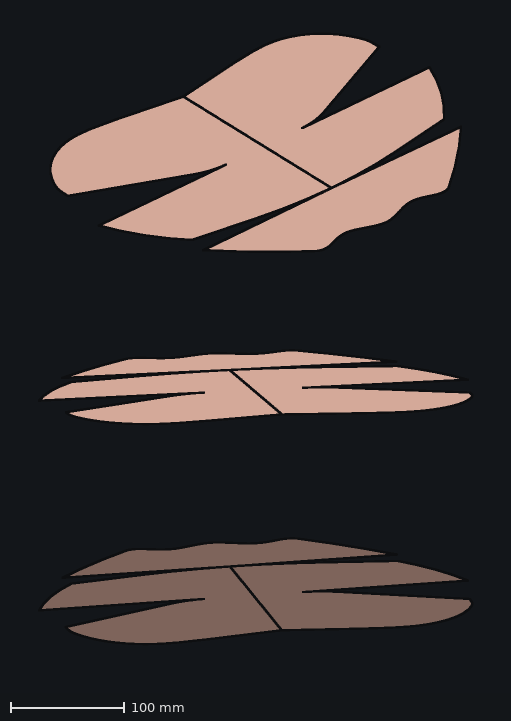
import cadquery as cq
import math

THICKNESS = 0.2

ROOT_X = -198.4
SLIT_X = -90.3
SLIT_BOTTOM_Y = 45.0
HALF_SPAN = 195.0
OUTER_LOBE_SIDE = (-209.7, 69.0)
OUTER_LOBE_WIDEST = (-213.49, 109.5)
OUTER_LOBE_SHOULDERS = [(-200.2, 152.0), (-182.2, 170.7), (-161.5, 182.0)]
OUTER_LOBE_TIP = (-144.5, 183.6)
SLIT_CURVE_RADIUS = 77.0
SLIT_SLANT = 24.0
INNER_LOBE_TOP_MIDDLE = (-51.2, 174.8)
INNER_LOBE_CORNER = (-18.0, 148.5)
TAIL_SIDE_RADIUS = 497.0
TAIL_SIDE_SLANT = 9.6

TAIL_CORNER = (0.85, 152.1)
TAIL_SIDE_MIDDLE = (41.7, 110.1)
SCALLOP_SHOULDER = (68.2, 78.0)
SCALLOP_CREST = (70.5, 68.5)
SCALLOP_FLANK = (65.0, 50.5)
SCALLOP_VALLEY = (63.2, 38.5)
CENTRE_CREST_FLANK = (68.0, 21.0)
CENTRE_CREST_X = 73.92

UP = (0, 1)
RIGHT = (1, 0)


def mirrored(point):
    """The point's image across the centre line."""
    return (point[0], -point[1])


def along(start, end):
    """Direction from one point to another."""
    return (end[0] - start[0], end[1] - start[1])


def bend_point(end, radius, angle):
    """Point on an arc that runs down to `end` and is parallel to Y there, `angle` degrees before it."""
    turn = math.radians(angle)
    return (end[0] - radius * (1 - math.cos(turn)), end[1] + radius * math.sin(turn))


def make_wing():
    """The wing on the +Y side: a rounded outer lobe and an inner lobe, parted by a slit."""
    root = (ROOT_X, 0)
    outer_lobe = [OUTER_LOBE_WIDEST, *OUTER_LOBE_SHOULDERS, OUTER_LOBE_TIP]
    outer_lobe_directions = [along(root, OUTER_LOBE_SIDE), UP, *[None] * len(OUTER_LOBE_SHOULDERS), RIGHT]
    slit_bottom = (SLIT_X, SLIT_BOTTOM_Y)
    seam_end = (0, 0)
    return (
        cq.Workplane("XY")
        .moveTo(*root)
        .lineTo(*OUTER_LOBE_SIDE)
        .spline(outer_lobe, tangents=outer_lobe_directions, includeCurrent=True)
        .lineTo(*bend_point(slit_bottom, SLIT_CURVE_RADIUS, SLIT_SLANT))
        .threePointArc(bend_point(slit_bottom, SLIT_CURVE_RADIUS, SLIT_SLANT / 2), slit_bottom)
        .lineTo(SLIT_X, HALF_SPAN)
        .threePointArc(INNER_LOBE_TOP_MIDDLE, INNER_LOBE_CORNER)
        .lineTo(*bend_point(seam_end, TAIL_SIDE_RADIUS, TAIL_SIDE_SLANT))
        .threePointArc(bend_point(seam_end, TAIL_SIDE_RADIUS, TAIL_SIDE_SLANT / 2), seam_end)
        .close()
        .extrude(THICKNESS)
    )


def make_tail():
    """The tail: a nearly straight front edge and a wavy rear edge with three crests."""
    half_wave = [SCALLOP_CREST, SCALLOP_FLANK, SCALLOP_VALLEY, CENTRE_CREST_FLANK]
    wave = half_wave + [(CENTRE_CREST_X, 0)] + [mirrored(p) for p in reversed(half_wave)]
    wave.append(mirrored(SCALLOP_SHOULDER))
    return (
        cq.Workplane("XY")
        .lineTo(*TAIL_CORNER)
        .threePointArc(TAIL_SIDE_MIDDLE, SCALLOP_SHOULDER)
        .spline(wave, includeCurrent=True)
        .threePointArc(mirrored(TAIL_SIDE_MIDDLE), mirrored(TAIL_CORNER))
        .close()
        .extrude(THICKNESS)
    )


upper_wing = make_wing()
lower_wing = upper_wing.mirror("XZ")
tail = make_tail()

result = cq.Compound.makeCompound([upper_wing.val(), lower_wing.val(), tail.val()])